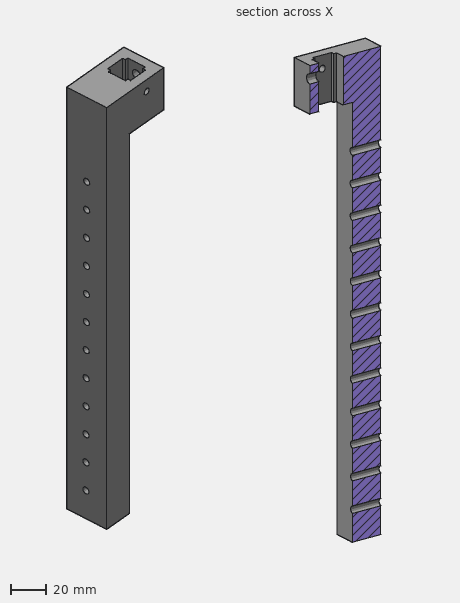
import cadquery as cq

width = 30.0
bar_height = 300.0
bar_depth = width * 2 / 3

sleeve_size = width
sleeve_center_y = bar_depth + sleeve_size / 2

socket_size = 17.0
socket_corner_notch = 2.0

rear_hole_diameter = 6.0
wall_hole_drop = 8.5
side_hole_diameter = 4.2

hole_diameter = 4.5
hole_count = 12
lowest_hole_z = 20.0
highest_hole_z = 240.0
hole_pitch = (highest_hole_z - lowest_hole_z) / (hole_count - 1)
lowest_hole_x = -0.5
highest_hole_x = 0.0
hole_drift = (highest_hole_x - lowest_hole_x) / (hole_count - 1)


def make_bar():
    return cq.Workplane("XY").box(width, bar_depth, bar_height, centered=(True, False, False))


def make_sleeve():
    return (
        cq.Workplane("XY", origin=(0, sleeve_center_y, bar_height - sleeve_size))
        .rect(width, sleeve_size)
        .extrude(sleeve_size)
    )


def make_socket():
    base = cq.Workplane("XY", origin=(0, sleeve_center_y, bar_height - sleeve_size))
    arm_width = socket_size - 2 * socket_corner_notch
    arm_along_x = base.rect(socket_size, arm_width).extrude(sleeve_size)
    arm_along_y = base.rect(arm_width, socket_size).extrude(sleeve_size)
    return arm_along_x.union(arm_along_y)


def make_rear_hole():
    return (
        cq.Workplane("XZ", origin=(0, sleeve_center_y, bar_height - wall_hole_drop))
        .circle(rear_hole_diameter / 2)
        .extrude(-sleeve_size / 2)
    )


def make_side_hole():
    return (
        cq.Workplane("YZ", origin=(0, sleeve_center_y, bar_height - wall_hole_drop))
        .circle(side_hole_diameter / 2)
        .extrude(width / 2)
    )


def make_hole_row():
    centers = [
        (lowest_hole_x + i * hole_drift, lowest_hole_z + i * hole_pitch)
        for i in range(hole_count)
    ]
    return (
        cq.Workplane("XZ")
        .pushPoints(centers)
        .circle(hole_diameter / 2)
        .extrude(-bar_depth)
    )


body = make_bar().union(make_sleeve())
holes = make_rear_hole().union(make_side_hole()).union(make_hole_row())
result = body.cut(make_socket()).cut(holes)